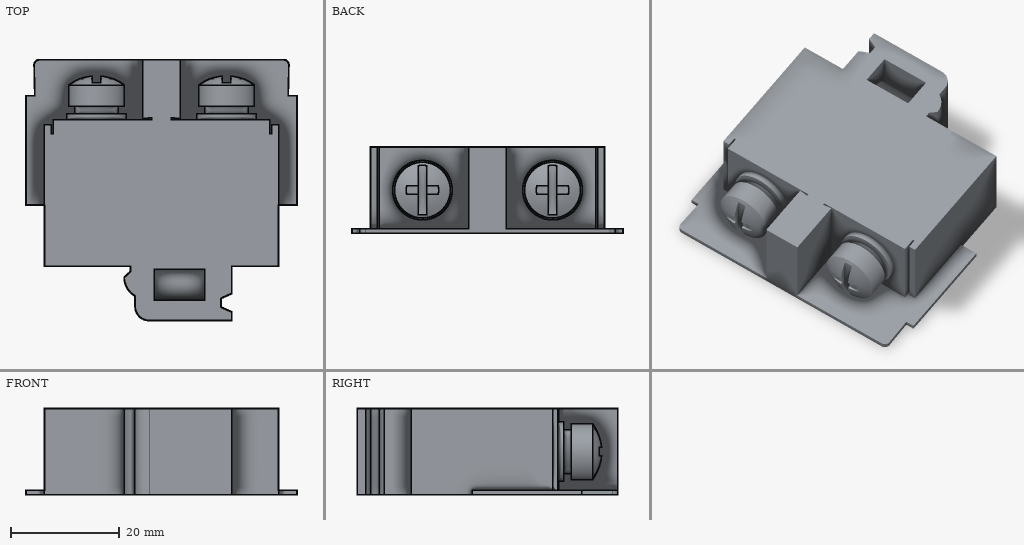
import cadquery as cq
import math

BODY_HEIGHT = 16.0
PLATE_THICKNESS = 0.9

BACK_Y = 38.15
TERMINAL_FACE_Y = 27.05
SHOULDER_Y = 26.15

BODY_WIDTH = 43.2
TERMINAL_FACE_WIDTH = 39.9
SIDE_SLOT_WIDTH = 0.35
SIDE_SLOT_DEPTH = 2.6

BARRIER_WIDTH = 7.0
BARRIER_ROOT_WIDTH = 3.6
BARRIER_SLOT_MOUTH = 0.2
BARRIER_SLOT_END = 0.4

WING_WIDTH = 50.0
WING_FRONT_Y = 11.3
WING_BACK_Y = 31.5
TAIL_ROOT_WIDTH = 46.8
TAIL_END_WIDTH = 47.1
TAIL_CORNER_RADIUS = 1.0

SCREW_SPACING = 24.0
WASHER_DIAMETER = 11.0
WASHER_THICKNESS = 1.1
NECK_DIAMETER = 8.1
NECK_LENGTH = 1.4
HEAD_DIAMETER = 10.3
HEAD_LENGTH = 3.9
DOME_HEIGHT = 1.75
DRIVE_SLOT_WIDTH = 1.6
MAIN_SLOT_DEPTH = 1.35
CROSS_SLOT_DEPTH = 0.55

CLIP_FRONT_Y = -10.0
CLIP_LEFT_X = -4.9
CLIP_RIGHT_X = 13.0
CLIP_CORNER_RADIUS = 2.65
CLIP_ROOT_X = -5.75
NOSE_ROOT_Y = -0.95
NOSE_TIP_X = -6.9
NOSE_TIP_Y = -2.0
NOSE_END_Y = -5.45
NOTCH_DEPTH = 2.0
NOTCH_BACK_Y = -5.0
NOTCH_FRONT_Y = -8.4
NOTCH_BEVEL = 0.9

WINDOW_LEFT_X = -1.35
WINDOW_RIGHT_X = 8.0
WINDOW_BACK_Y = -0.5
WINDOW_FRONT_Y = -6.25


def block(x_min, x_max, y_min, y_max, z_min, z_max):
    """Axis-aligned box between the given limits."""
    size = (x_max - x_min, y_max - y_min, z_max - z_min)
    return cq.Workplane("XY").box(*size, centered=False).translate((x_min, y_min, z_min))


def centred_block(width, y_min, y_max, height):
    """Box standing on Z = 0, symmetric about X = 0."""
    return block(-width / 2, width / 2, y_min, y_max, 0, height)


def make_housing():
    """Main block with a raised terminal face and a thin slot down each side of it."""
    slot_floor_y = TERMINAL_FACE_Y - SIDE_SLOT_DEPTH
    slotted_width = TERMINAL_FACE_WIDTH + 2 * SIDE_SLOT_WIDTH
    housing = centred_block(BODY_WIDTH, 0, SHOULDER_Y, BODY_HEIGHT)
    housing = housing.cut(centred_block(slotted_width, slot_floor_y, SHOULDER_Y, BODY_HEIGHT))
    return housing.union(centred_block(TERMINAL_FACE_WIDTH, 0, TERMINAL_FACE_Y, BODY_HEIGHT))


def make_barrier():
    """Wall between the terminals, undercut on both sides by slots that widen inward."""
    half_width = BARRIER_WIDTH / 2
    half_root = BARRIER_ROOT_WIDTH / 2
    half_outline = (
        cq.Workplane("XY")
        .moveTo(0, TERMINAL_FACE_Y)
        .lineTo(half_root, TERMINAL_FACE_Y)
        .lineTo(half_root, TERMINAL_FACE_Y + BARRIER_SLOT_END)
        .lineTo(half_width, TERMINAL_FACE_Y + BARRIER_SLOT_MOUTH)
        .lineTo(half_width, BACK_Y)
        .lineTo(0, BACK_Y)
    )
    return half_outline.mirrorY().extrude(BODY_HEIGHT)


def make_plate():
    """Thin base plate: wide wings and a slightly flared tail with rounded corners."""
    wings = centred_block(WING_WIDTH, WING_FRONT_Y, WING_BACK_Y, PLATE_THICKNESS)
    tail = (
        cq.Workplane("XY")
        .moveTo(-TAIL_ROOT_WIDTH / 2, WING_BACK_Y)
        .lineTo(TAIL_ROOT_WIDTH / 2, WING_BACK_Y)
        .lineTo(TAIL_END_WIDTH / 2, BACK_Y)
        .lineTo(-TAIL_END_WIDTH / 2, BACK_Y)
        .close()
        .extrude(PLATE_THICKNESS)
        .edges("|Z and >Y")
        .fillet(TAIL_CORNER_RADIUS)
    )
    return wings.union(tail)


def make_screw():
    """Domed screw with washer and cross drive, axis on Y, seated at Y = 0."""
    neck_end = WASHER_THICKNESS + NECK_LENGTH
    head_end = neck_end + HEAD_LENGTH
    tip = head_end + DOME_HEIGHT
    head_radius = HEAD_DIAMETER / 2
    dome_radius = (head_radius**2 + DOME_HEIGHT**2) / (2 * DOME_HEIGHT)
    half_angle = math.asin(head_radius / dome_radius) / 2
    dome_middle = (
        dome_radius * math.sin(half_angle),
        tip - dome_radius * (1 - math.cos(half_angle)),
    )
    screw = (
        cq.Workplane("XY")
        .lineTo(WASHER_DIAMETER / 2, 0)
        .lineTo(WASHER_DIAMETER / 2, WASHER_THICKNESS)
        .lineTo(NECK_DIAMETER / 2, WASHER_THICKNESS)
        .lineTo(NECK_DIAMETER / 2, neck_end)
        .lineTo(head_radius, neck_end)
        .lineTo(head_radius, head_end)
        .threePointArc(dome_middle, (0, tip))
        .close()
        .revolve(360, (0, 0), (0, 1))
    )
    half_slot = DRIVE_SLOT_WIDTH / 2
    main_slot = block(
        -half_slot, half_slot, tip - MAIN_SLOT_DEPTH, tip, -head_radius, head_radius
    )
    cross_slot = block(
        -head_radius, head_radius, tip - CROSS_SLOT_DEPTH, tip, -half_slot, half_slot
    )
    return screw.cut(main_slot).cut(cross_slot)


def make_clip():
    """Mounting clip with a rounded nose on the left and a bevelled notch on the right."""
    nose_width = CLIP_LEFT_X - NOSE_TIP_X
    nose_length = NOSE_TIP_Y - NOSE_END_Y
    nose_radius = (nose_width**2 + nose_length**2) / (2 * nose_width)
    half_angle = math.asin(nose_length / nose_radius) / 2
    nose_middle = (
        NOSE_TIP_X + nose_radius * (1 - math.cos(half_angle)),
        NOSE_TIP_Y - nose_radius * math.sin(half_angle),
    )
    notch_floor_x = CLIP_RIGHT_X - NOTCH_DEPTH
    return (
        cq.Workplane("XY")
        .moveTo(CLIP_ROOT_X, 0)
        .lineTo(CLIP_ROOT_X, NOSE_ROOT_Y)
        .lineTo(NOSE_TIP_X, NOSE_TIP_Y)
        .threePointArc(nose_middle, (CLIP_LEFT_X, NOSE_END_Y))
        .lineTo(CLIP_LEFT_X, CLIP_FRONT_Y + CLIP_CORNER_RADIUS)
        .radiusArc((CLIP_LEFT_X + CLIP_CORNER_RADIUS, CLIP_FRONT_Y), -CLIP_CORNER_RADIUS)
        .lineTo(CLIP_RIGHT_X, CLIP_FRONT_Y)
        .lineTo(CLIP_RIGHT_X, NOTCH_FRONT_Y)
        .lineTo(notch_floor_x, NOTCH_FRONT_Y + NOTCH_BEVEL)
        .lineTo(notch_floor_x, NOTCH_BACK_Y - NOTCH_BEVEL)
        .lineTo(CLIP_RIGHT_X, NOTCH_BACK_Y)
        .lineTo(CLIP_RIGHT_X, 0)
        .close()
        .extrude(BODY_HEIGHT)
    )


def make_window():
    """Pocket cut from the top to mid-height, leaving a half-round bar along X as its floor."""
    middle_z = BODY_HEIGHT / 2
    bar_radius = (WINDOW_BACK_Y - WINDOW_FRONT_Y) / 2
    bar_y = (WINDOW_BACK_Y + WINDOW_FRONT_Y) / 2
    bar = (
        cq.Workplane("YZ", origin=(WINDOW_LEFT_X, bar_y, middle_z))
        .circle(bar_radius)
        .extrude(WINDOW_RIGHT_X - WINDOW_LEFT_X)
    )
    pocket = block(
        WINDOW_LEFT_X, WINDOW_RIGHT_X, WINDOW_FRONT_Y, WINDOW_BACK_Y, middle_z, BODY_HEIGHT
    )
    return pocket.cut(bar)


result = make_housing().union(make_barrier()).union(make_plate()).union(make_clip())
for screw_x in (-SCREW_SPACING / 2, SCREW_SPACING / 2):
    screw_seat = (screw_x, TERMINAL_FACE_Y, BODY_HEIGHT / 2)
    result = result.union(make_screw().translate(screw_seat))
result = result.cut(make_window())